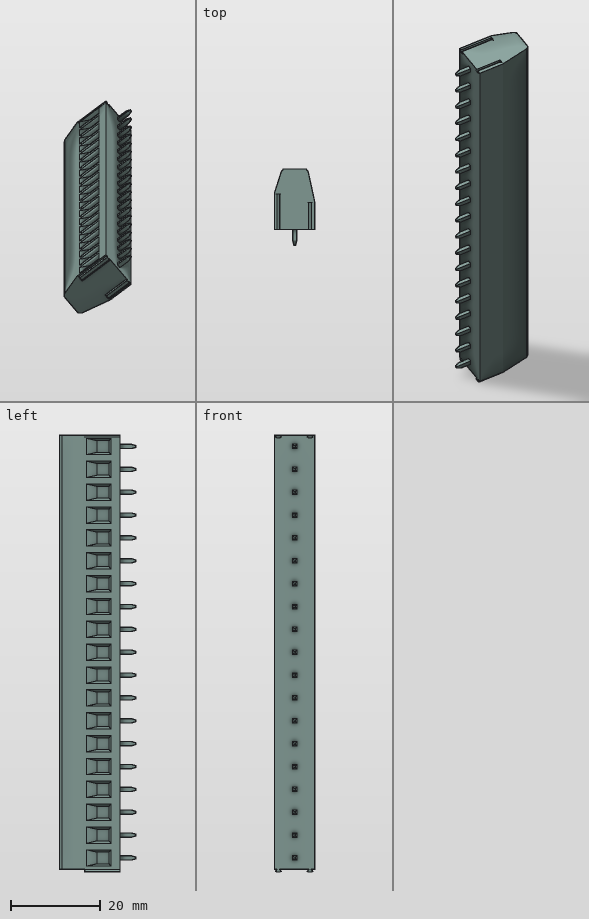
import cadquery as cq

POLE_COUNT = 19
PITCH = 5.08
BODY_HEIGHT = POLE_COUNT * PITCH

WIDTH = 9.0
BODY_DEPTH = 13.5
LEFT_SIDE_DEPTH = 8.25
RIGHT_SIDE_DEPTH = 6.0
CREST_HALF_WIDTH = 3.0
CREST_CHAMFER_X = 0.5
CREST_CHAMFER_Y = 0.6

FUNNEL_CENTRE_Y = 4.75
FUNNEL_MOUTH_LENGTH = 5.5
FUNNEL_MOUTH_HEIGHT = 3.65
FUNNEL_DEPTH = 1.0
FUNNEL_FLOOR_CENTRE_Y = 3.85
FUNNEL_FLOOR_LENGTH = 2.7
FUNNEL_FLOOR_HEIGHT = 2.6

PIN_WIDTH = 0.9
PIN_HEIGHT = 1.0
PIN_LENGTH = 3.5
PIN_TAPER_LENGTH = 1.0
PIN_TIP_SIZE = 0.4

RAIL_HEIGHT = 0.6
RAIL_NECK_WIDTH = 0.6
RAIL_HEAD_WIDTH = 1.3
RAIL_TIP_WIDTH = 0.7
RAIL_HEAD_DROP = 0.42
RAIL_LEFT_X = -3.65
RAIL_RIGHT_X = 3.4
RAIL_LEFT_LENGTH = 7.9
RAIL_RIGHT_LENGTH = 6.0


def make_housing():
    half = WIDTH / 2
    shoulder_y = BODY_DEPTH - CREST_CHAMFER_Y
    outline = [
        (-half, 0),
        (half, 0),
        (half, RIGHT_SIDE_DEPTH),
        (CREST_HALF_WIDTH, shoulder_y),
        (CREST_HALF_WIDTH - CREST_CHAMFER_X, BODY_DEPTH),
        (-CREST_HALF_WIDTH + CREST_CHAMFER_X, BODY_DEPTH),
        (-CREST_HALF_WIDTH, shoulder_y),
        (-half, LEFT_SIDE_DEPTH),
    ]
    return cq.Workplane("XY").polyline(outline).close().extrude(BODY_HEIGHT)


def make_rail(x, length, root_z):
    """Mushroom-shaped rail hanging below root_z and running along Y from the front face."""
    neck = (RAIL_NECK_WIDTH / 2, 0)
    head = (RAIL_HEAD_WIDTH / 2, -RAIL_HEAD_DROP)
    tip = (RAIL_TIP_WIDTH / 2, -RAIL_HEIGHT)
    half_outline = [neck, head, tip]
    right_side = [(x + dx, root_z + dz) for dx, dz in half_outline]
    left_side = [(x - dx, root_z + dz) for dx, dz in reversed(half_outline)]
    return cq.Workplane("XZ").polyline(right_side + left_side).close().extrude(-length)


def make_funnel(centre_z):
    """Tapered recess that narrows from its mouth in the -X side to a flat floor."""
    return (
        cq.Workplane("YZ", origin=(-WIDTH / 2, 0, centre_z))
        .center(FUNNEL_CENTRE_Y, 0)
        .rect(FUNNEL_MOUTH_LENGTH, FUNNEL_MOUTH_HEIGHT)
        .workplane(offset=FUNNEL_DEPTH)
        .center(FUNNEL_FLOOR_CENTRE_Y - FUNNEL_CENTRE_Y, 0)
        .rect(FUNNEL_FLOOR_LENGTH, FUNNEL_FLOOR_HEIGHT)
        .loft(ruled=True)
    )


def make_pin(centre_z):
    """Rectangular pin that stands out of the front face and tapers to a blunt tip."""
    shank_length = PIN_LENGTH - PIN_TAPER_LENGTH
    start = cq.Workplane("XZ", origin=(0, 0, centre_z))
    shank = start.rect(PIN_WIDTH, PIN_HEIGHT).extrude(shank_length)
    tip = (
        start.workplane(offset=shank_length)
        .rect(PIN_WIDTH, PIN_HEIGHT)
        .workplane(offset=PIN_TAPER_LENGTH)
        .rect(PIN_TIP_SIZE, PIN_TIP_SIZE)
        .loft(ruled=True)
    )
    return shank.union(tip)


result = make_housing()

for rail_x, rail_length in ((RAIL_LEFT_X, RAIL_LEFT_LENGTH), (RAIL_RIGHT_X, RAIL_RIGHT_LENGTH)):
    result = result.union(make_rail(rail_x, rail_length, 0))
    groove = make_rail(rail_x, rail_length, BODY_HEIGHT)
    result = result.cut(groove)

for pole in range(POLE_COUNT):
    pole_z = PITCH / 2 + pole * PITCH
    result = result.cut(make_funnel(pole_z))
    result = result.union(make_pin(pole_z))